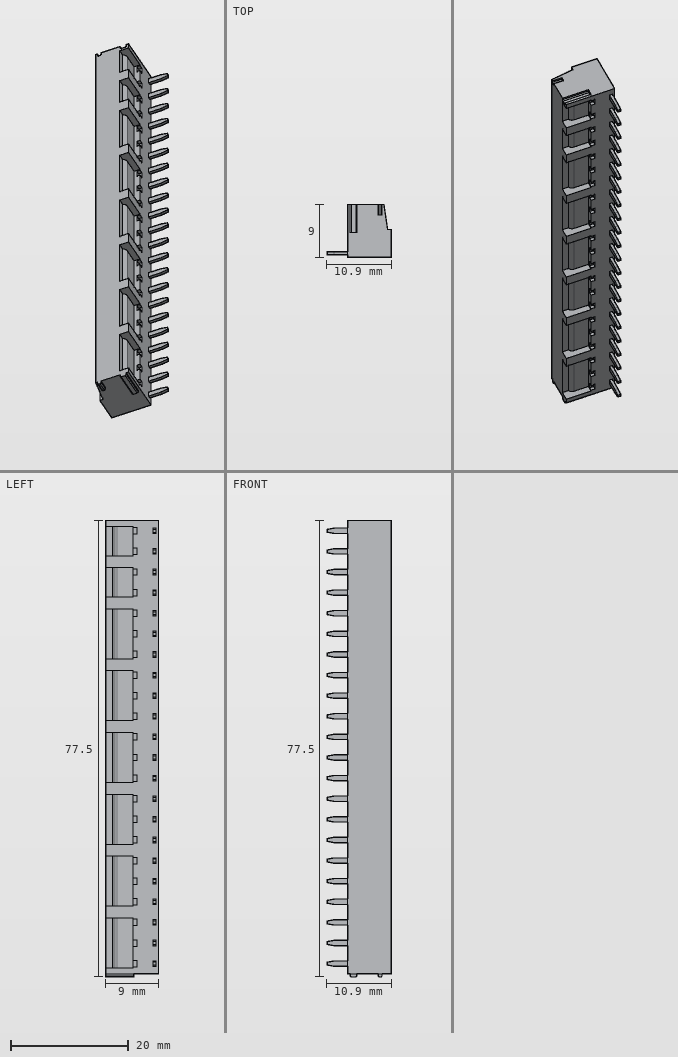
import cadquery as cq


PITCH = 3.5
POLES_PER_GROUP = (3, 3, 3, 3, 3, 3, 2, 2)
POLE_COUNT = sum(POLES_PER_GROUP)
LENGTH = POLE_COUNT * PITCH
WIDTH = 7.4
DEPTH = 9.0
BACK_EDGE_X = 6.17
SLOPE_FOOT_X = 6.8
LEDGE_Y = 4.75

RIB_THICKNESS = 2.0
POCKET_END_Y = 4.4
POCKET_DEPTH_BACK = 1.65
POCKET_DEPTH_FRONT = 1.12
POCKET_ROUND_Y = 7.1
POCKET_ROUND_LENGTH = 0.75

NOTCH_LENGTH = 0.75
NOTCH_HEIGHT = 1.1
NOTCH_DEPTH = 0.6

PIN_LENGTH = 3.5
PIN_TIP_LENGTH = 1.2
PIN_HEIGHT = 0.95
PIN_THICKNESS = 0.55
PIN_TIP_HEIGHT = 0.5
PIN_Y = 0.7

RAIL_HEIGHT = 0.55
RAIL_CHAMFER = 0.2
WIDE_RAIL_X = 1.0
WIDE_RAIL_WIDTH = 1.15
WIDE_RAIL_LENGTH = 4.8
NARROW_RAIL_X = 5.5
NARROW_RAIL_WIDTH = 0.7
NARROW_RAIL_LENGTH = 1.8


def make_housing():
    outline = [
        (0, 0),
        (WIDTH, 0),
        (WIDTH, LEDGE_Y),
        (SLOPE_FOOT_X, LEDGE_Y),
        (BACK_EDGE_X, DEPTH),
        (0, DEPTH),
    ]
    return cq.Workplane("XY").polyline(outline).close().extrude(LENGTH)


def make_pocket(z_bottom, height):
    return (
        cq.Workplane("XY", origin=(0, 0, z_bottom))
        .moveTo(0, POCKET_END_Y)
        .lineTo(POCKET_DEPTH_FRONT, POCKET_END_Y)
        .lineTo(POCKET_DEPTH_FRONT, POCKET_ROUND_Y)
        .tangentArcPoint((POCKET_DEPTH_BACK, POCKET_ROUND_Y + POCKET_ROUND_LENGTH), relative=False)
        .lineTo(POCKET_DEPTH_BACK, DEPTH)
        .lineTo(0, DEPTH)
        .close()
        .extrude(height)
    )


def make_notch(z_center):
    corner = (0, POCKET_END_Y - NOTCH_LENGTH, z_center - NOTCH_HEIGHT / 2)
    return cq.Workplane("XY").box(NOTCH_DEPTH, NOTCH_LENGTH, NOTCH_HEIGHT, centered=False).translate(corner)


def make_pin(z_center):
    taper_x = PIN_TIP_LENGTH - PIN_LENGTH
    half_height = PIN_HEIGHT / 2
    half_tip = PIN_TIP_HEIGHT / 2
    outline = [
        (0, -half_height),
        (0, half_height),
        (taper_x, half_height),
        (-PIN_LENGTH, half_tip),
        (-PIN_LENGTH, -half_tip),
        (taper_x, -half_height),
    ]
    mid_plane = cq.Workplane("XZ", origin=(0, PIN_Y, z_center))
    return mid_plane.polyline(outline).close().extrude(PIN_THICKNESS / 2, both=True)


def make_rail(x_center, width, length, z_root):
    left = x_center - width / 2
    right = x_center + width / 2
    z_edge = z_root - RAIL_HEIGHT
    outline = [
        (left, z_root),
        (right, z_root),
        (right, z_edge + RAIL_CHAMFER),
        (right - RAIL_CHAMFER, z_edge),
        (left + RAIL_CHAMFER, z_edge),
        (left, z_edge + RAIL_CHAMFER),
    ]
    return cq.Workplane("XZ", origin=(0, DEPTH, 0)).polyline(outline).close().extrude(length)


def make_rail_pair(z_root):
    wide = make_rail(WIDE_RAIL_X, WIDE_RAIL_WIDTH, WIDE_RAIL_LENGTH, z_root)
    narrow = make_rail(NARROW_RAIL_X, NARROW_RAIL_WIDTH, NARROW_RAIL_LENGTH, z_root)
    return wide.add(narrow).combine()


result = make_housing()

group_bottom = 0
for poles in POLES_PER_GROUP:
    group_height = poles * PITCH
    result = result.cut(make_pocket(group_bottom + RIB_THICKNESS / 2, group_height - RIB_THICKNESS))
    group_bottom += group_height

for pole in range(POLE_COUNT):
    pole_z = (pole + 0.5) * PITCH
    result = result.cut(make_notch(pole_z))
    result = result.union(make_pin(pole_z))

result = result.cut(make_rail_pair(LENGTH))
result = result.union(make_rail_pair(0))